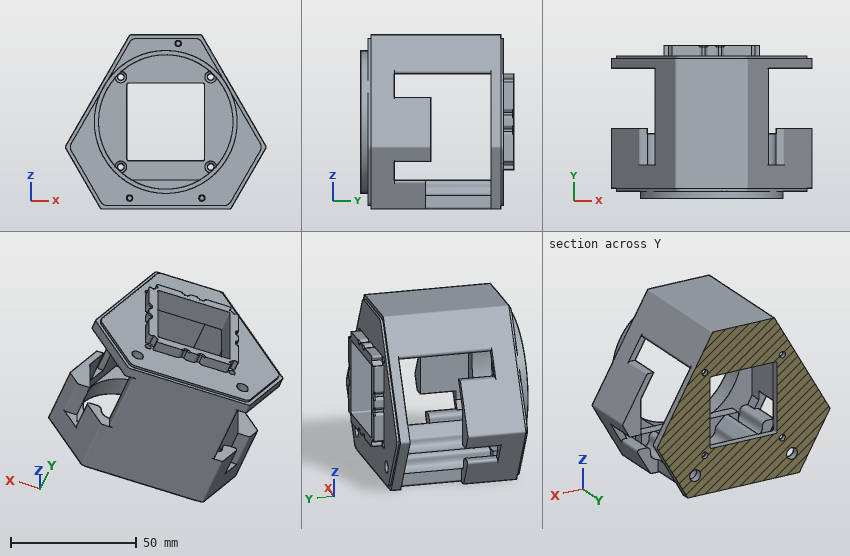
import cadquery as cq
import math

WIDTH = 80.3
HEIGHT = 69.8
APEX_Z = -10.0
CORNER_RADIUS = 1.0
WALL = 2.65
FLOOR = 3.0
BODY_DEPTH = 52.0
PLATE = 4.0

PAD_INSET = 1.45
PAD_CORNER_RADIUS = 3.2
FRONT_PAD = 1.2
BACK_PAD = 1.0

RING_OUTER_RADIUS = 28.6
RING_INNER_RADIUS = 26.9
RING_HEIGHT = 2.9

OPENING_TOP = 19.2
OPENING_BOTTOM = -23.2
SLOT_START = 9.4
TAB_TOP = 9.9
TAB_BOTTOM = -15.9
TAB_DEPTH = 24.0
CAVITY_HALF_WIDTH = 31.7

ROD_X = 22.5
ROD_Z = -25.8
ROD_HOLE_RADIUS = 2.4
CHANNEL_RADIUS = 3.5
RAIL_ROUND = 2.0
LOWER_WALL_DEPTH = 21.9
SILL_END = 8.8

SPIGOT_SIDE = 38.4
SPIGOT_HEIGHT = 4.25
WINDOW_SIDE = 31.0
WINDOW_CORNER_RADIUS = 0.65
NOTCH_OFFSET = 3.3
NOTCH_FLOOR = 1.1
NOTCH_DEPTH = 1.1
NOTCH_LIP_RADIUS = 0.8
NOTCH_LEAD_IN = 0.65
RELIEF_ROOT_NEAR = 15.4
RELIEF_ROOT_FAR = 17.3
RELIEF_MOUTH = 16.3
RELIEF_EDGE_RADIUS = 0.65

SCREW_OFFSET = 18.0
SCREW_RADIUS = 1.3
SCREW_HEAD_RADIUS = 2.3
PILOT_POINTS = [(5.0, 31.4), (-14.45, -30.4), (14.45, -30.4)]
PILOT_RADIUS = 1.0
PILOT_CHAMFER = 0.3
PILOT_DEPTH = 4.8

SIN60 = math.sin(math.radians(60))
COS60 = 0.5
SIN45 = math.sqrt(0.5)
SIN22 = math.sin(math.radians(22.5))
COS22 = math.cos(math.radians(22.5))
HALF_HEIGHT = HEIGHT / 2
FLOOR_Z = FLOOR - HALF_HEIGHT
APEX_X = WIDTH / 2 + CORNER_RADIUS * (1 / SIN60 - 1)
UPPER_DISTANCE = SIN60 * APEX_X + COS60 * APEX_Z
LOWER_DISTANCE = SIN60 * APEX_X - COS60 * APEX_Z
BACK_PLATE_Y = BODY_DEPTH - PLATE
PAD_BACK = BODY_DEPTH + BACK_PAD
SPIGOT_BACK = PAD_BACK + SPIGOT_HEIGHT
OVERCUT = 4.0


def plane_at(y):
    """Upright plane at depth y whose extrusions run towards +Y; its local x axis points to -X."""
    return cq.Workplane(cq.Plane(origin=(0, y, 0), xDir=(-1, 0, 0), normal=(0, 1, 0)))


def sketch_at(y, points):
    """Closed outline through (x, z) points at depth y."""
    return plane_at(y).polyline([(-x, z) for x, z in points]).close()


def hexagon(inset, y_start, y_end, corner_radius=0.0):
    """Prism of the six-sided outline moved inwards by inset."""
    upper = UPPER_DISTANCE - inset
    lower = LOWER_DISTANCE - inset
    end_z = HALF_HEIGHT - inset
    top_x = (upper - COS60 * end_z) / SIN60
    side_x = (upper + lower) / (2 * SIN60)
    side_z = upper - lower
    bottom_x = (lower - COS60 * end_z) / SIN60
    right = [(top_x, end_z), (side_x, side_z), (bottom_x, -end_z)]
    left = [(-x, z) for x, z in reversed(right)]
    prism = sketch_at(y_start, right + left).extrude(y_end - y_start)
    if corner_radius:
        prism = prism.edges("|Y").fillet(corner_radius)
    return prism


def cylinder(radius, y_start, y_end, x=0.0, z=0.0):
    return plane_at(y_start).center(-x, z).circle(radius).extrude(y_end - y_start)


def slab(z_low, z_high, y_start, y_end, half_width=WIDTH):
    """Block centred on x = 0 between two heights and two depths."""
    size = (2 * half_width, y_end - y_start, z_high - z_low)
    return cq.Workplane("XY").box(*size, centered=(True, False, False)).translate((0, y_start, z_low))


def both_sides(left):
    return left.union(left.mirror("YZ"))


def lower_wall_x(inset, z):
    """Distance from the middle to the lower slanted wall, inset below its outer face."""
    return (LOWER_DISTANCE - inset + COS60 * z) / SIN60


def upper_wall_x(inset, z):
    """Distance from the middle to the upper slanted wall, inset below its outer face."""
    return (UPPER_DISTANCE - inset - COS60 * z) / SIN60


def round_edges(shape, x, y, z, radius=CORNER_RADIUS):
    """Round the pair of Y-parallel edges through (x, y, z) and its mirror point."""
    for side in (-x, x):
        edge = cq.selectors.NearestToPointSelector((side, y, z))
        shape = shape.edges(edge).fillet(radius)
    return shape


def left_rail():
    """Rail with a half-round rod channel on its outer side and a coved foot on its inner side."""
    top_z = OPENING_BOTTOM
    round_z = top_z - RAIL_ROUND
    lip_x = -ROD_X - CHANNEL_RADIUS
    crest_x = -ROD_X + CHANNEL_RADIUS
    crest_centre_x = crest_x + RAIL_ROUND
    round_rise = RAIL_ROUND * SIN45
    slope_x = crest_centre_x + round_rise
    slope_z = round_z + round_rise
    cove_z = FLOOR_Z + CHANNEL_RADIUS
    foot_centre_x = slope_x + slope_z - cove_z - 2 * round_rise
    cove_x = foot_centre_x + RAIL_ROUND
    cove_mid = CHANNEL_RADIUS * (1 - SIN45)
    profile = (
        cq.Workplane(cq.Plane(origin=(0, PLATE, 0), xDir=(1, 0, 0), normal=(0, -1, 0)))
        .moveTo(-lower_wall_x(WALL, top_z), top_z)
        .lineTo(lip_x - RAIL_ROUND, top_z)
        .threePointArc((lip_x - RAIL_ROUND + round_rise, slope_z), (lip_x, round_z))
        .lineTo(lip_x, ROD_Z)
        .threePointArc((-ROD_X, ROD_Z - CHANNEL_RADIUS), (crest_x, ROD_Z))
        .lineTo(crest_x, round_z)
        .threePointArc((crest_centre_x, top_z), (slope_x, slope_z))
        .lineTo(foot_centre_x + round_rise, cove_z + round_rise)
        .threePointArc(
            (foot_centre_x + RAIL_ROUND * COS22, cove_z + RAIL_ROUND * SIN22), (cove_x, cove_z)
        )
        .threePointArc(
            (cove_x + cove_mid, FLOOR_Z + cove_mid), (cove_x + CHANNEL_RADIUS, FLOOR_Z)
        )
        .lineTo(-lower_wall_x(WALL, FLOOR_Z), FLOOR_Z)
        .close()
    )
    return profile.extrude(PLATE - BACK_PLATE_Y)


def left_lower_cut():
    """Removes the lower wall and everything outside the rod centre behind the front part."""
    points = [(-ROD_X, -HALF_HEIGHT - OVERCUT), (-ROD_X, TAB_BOTTOM - CORNER_RADIUS)]
    points += [(-WIDTH, z) for _, z in reversed(points)]
    return sketch_at(LOWER_WALL_DEPTH, points).extrude(BACK_PLATE_Y - LOWER_WALL_DEPTH)


cavity = hexagon(WALL, PLATE, BACK_PLATE_Y)
cavity = cavity.intersect(slab(FLOOR_Z, HALF_HEIGHT, PLATE, BACK_PLATE_Y, CAVITY_HALF_WIDTH))
cavity_corner_z = (UPPER_DISTANCE - WALL - SIN60 * CAVITY_HALF_WIDTH) / COS60
cavity = round_edges(cavity, CAVITY_HALF_WIDTH, (PLATE + BACK_PLATE_Y) / 2, cavity_corner_z)
shell = hexagon(0, 0, BODY_DEPTH, CORNER_RADIUS).cut(cavity)
body = shell.cut(slab(OPENING_BOTTOM, OPENING_TOP, SLOT_START, BACK_PLATE_Y))
body = body.union(both_sides(left_rail()))
body = body.cut(both_sides(left_lower_cut()))
rail_middle = (LOWER_WALL_DEPTH + BACK_PLATE_Y) / 2
body = round_edges(body, upper_wall_x(0, OPENING_TOP), rail_middle, OPENING_TOP)
body = round_edges(body, ROD_X, rail_middle, -HALF_HEIGHT)
slot_middle = (SLOT_START + LOWER_WALL_DEPTH) / 2
body = round_edges(body, lower_wall_x(0, OPENING_BOTTOM), slot_middle, OPENING_BOTTOM)

tabs = shell.intersect(slab(TAB_BOTTOM, TAB_TOP, PLATE, TAB_DEPTH))
tab_middle = (PLATE + TAB_DEPTH) / 2
tabs = round_edges(tabs, upper_wall_x(0, TAB_TOP), tab_middle, TAB_TOP)
tabs = round_edges(tabs, lower_wall_x(0, TAB_BOTTOM), tab_middle, TAB_BOTTOM)
tabs = tabs.intersect(slab(TAB_BOTTOM, TAB_TOP, SLOT_START, TAB_DEPTH))
body = body.union(tabs)

body = body.union(hexagon(PAD_INSET, -FRONT_PAD, 0, PAD_CORNER_RADIUS))
body = body.union(cylinder(RING_OUTER_RADIUS, -FRONT_PAD - RING_HEIGHT, 0))
body = body.cut(cylinder(RING_INNER_RADIUS, -FRONT_PAD - RING_HEIGHT, PLATE))
body = body.union(slab(FLOOR_Z, OPENING_BOTTOM, PLATE, SILL_END, ROD_X))


def notch(offset):
    """Groove in the top side of the spigot with 45 degree flanks, rounded lips and a wider back end."""
    top = SPIGOT_SIDE / 2
    floor = top - NOTCH_DEPTH
    half_floor = NOTCH_FLOOR / 2
    half_throat = half_floor + NOTCH_DEPTH - NOTCH_LIP_RADIUS * (1 - SIN45)
    half_mouth = half_throat + NOTCH_LIP_RADIUS * SIN45
    throat_z = top - NOTCH_LIP_RADIUS * (1 - SIN45)
    lip_x = half_mouth - NOTCH_LIP_RADIUS * SIN22
    lip_z = top - NOTCH_LIP_RADIUS * (1 - COS22)
    back_face = cq.Workplane(cq.Plane((offset, SPIGOT_BACK, 0), (1, 0, 0), (0, -1, 0)))
    groove = (
        back_face.moveTo(-half_mouth, top)
        .threePointArc((-lip_x, lip_z), (-half_throat, throat_z))
        .lineTo(-half_floor, floor)
        .lineTo(half_floor, floor)
        .lineTo(half_throat, throat_z)
        .threePointArc((lip_x, lip_z), (half_mouth, top))
        .close()
        .extrude(SPIGOT_HEIGHT)
    )
    spread = (half_mouth - half_floor - NOTCH_DEPTH) * SIN45
    wide_floor = floor - spread
    wide_half = half_mouth - (top - wide_floor)
    lead_in = (
        back_face.polyline(
            [(-half_mouth, top), (-wide_half, wide_floor), (wide_half, wide_floor), (half_mouth, top)]
        )
        .close()
        .extrude(NOTCH_LEAD_IN, taper=math.degrees(math.atan(spread / NOTCH_LEAD_IN)))
    )
    return groove.union(lead_in)


def corner_relief():
    """Clearance for the screw at the top right corner of the spigot."""
    outer = SPIGOT_SIDE / 2
    points = [
        (RELIEF_MOUTH, outer),
        (RELIEF_ROOT_NEAR, RELIEF_ROOT_FAR),
        (RELIEF_ROOT_FAR, RELIEF_ROOT_NEAR),
        (outer, RELIEF_MOUTH),
        (outer, outer),
    ]
    return sketch_at(PAD_BACK, points).extrude(SPIGOT_HEIGHT)


def spigot():
    half = SPIGOT_SIDE / 2
    middle_y = PAD_BACK + SPIGOT_HEIGHT / 2
    block = plane_at(PAD_BACK).rect(SPIGOT_SIDE, SPIGOT_SIDE).extrude(SPIGOT_HEIGHT)
    for turn in range(4):
        block = block.cut(corner_relief().rotate((0, 0, 0), (0, 1, 0), 90 * turn))
    for x, z in ((RELIEF_MOUTH, half), (half, RELIEF_MOUTH)):
        for level in (-z, z):
            block = round_edges(block, x, middle_y, level, RELIEF_EDGE_RADIUS)
    for turn in range(4):
        for offset in (-NOTCH_OFFSET, NOTCH_OFFSET):
            block = block.cut(notch(offset).rotate((0, 0, 0), (0, 1, 0), 90 * turn))
    return block


body = body.union(hexagon(PAD_INSET, BODY_DEPTH, PAD_BACK, PAD_CORNER_RADIUS))
body = body.union(spigot())
window = plane_at(BACK_PLATE_Y).rect(WINDOW_SIDE, WINDOW_SIDE).extrude(SPIGOT_BACK - BACK_PLATE_Y)
body = body.cut(window.edges("|Y").fillet(WINDOW_CORNER_RADIUS))


def countersunk_hole(radius, mouth_radius, x, z, y_start, y_end):
    """Hole from y_start to y_end with a 45 degree cone at y_start."""
    depth = mouth_radius - radius
    cone = cq.Solid.makeCone(mouth_radius, radius, depth, cq.Vector(x, y_start, z), cq.Vector(0, 1, 0))
    return cylinder(radius, y_start, y_end, x, z).union(cq.Workplane(cone))


for x in (-SCREW_OFFSET, SCREW_OFFSET):
    for z in (-SCREW_OFFSET, SCREW_OFFSET):
        body = body.cut(
            countersunk_hole(SCREW_RADIUS, SCREW_HEAD_RADIUS, x, z, BACK_PLATE_Y, SPIGOT_BACK)
        )
for x in (-ROD_X, ROD_X):
    body = body.cut(cylinder(ROD_HOLE_RADIUS, BACK_PLATE_Y, PAD_BACK, x, ROD_Z))

for x, z in PILOT_POINTS:
    body = body.cut(
        countersunk_hole(
            PILOT_RADIUS, PILOT_RADIUS + PILOT_CHAMFER, x, z, -FRONT_PAD, PILOT_DEPTH - FRONT_PAD
        )
    )

result = body